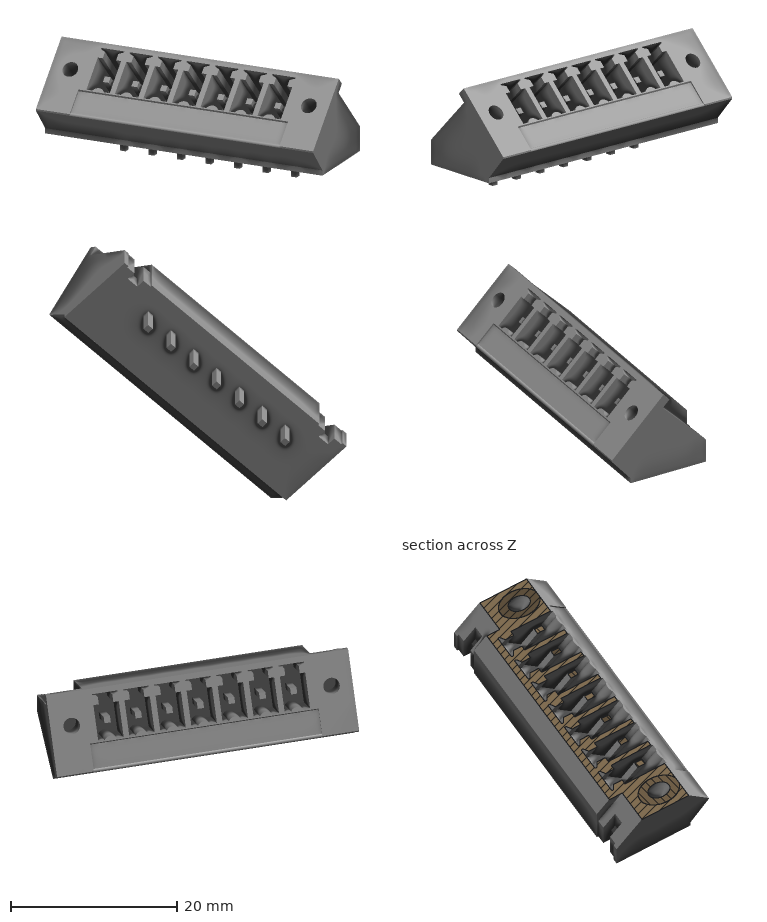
import cadquery as cq
import math


LENGTH = 37.05
HEIGHT = 10.95
DEPTH = 13.1
BASE_DEPTH = 10.5
BASE_LIP_HEIGHT = 0.65
NOSE_HEIGHT = 3.67
PEAK_DEPTH = 5.93
TILT = 45.4
NORMAL_Y = math.cos(math.radians(TILT))
NORMAL_Z = math.sin(math.radians(TILT))
SLOPE_RISE = NORMAL_Z / NORMAL_Y
NOSE_TOP = HEIGHT - (DEPTH - PEAK_DEPTH) / SLOPE_RISE
CUT = 2 * LENGTH

MIDDLE_LENGTH = 28.0
RECESS_START = 6.65
LEDGE_HEIGHT = 0.22
LEDGE_UNDERCUT = 0.05
BEAD_RADIUS = 0.3

EAR_LENGTH = (LENGTH - MIDDLE_LENGTH) / 2
EAR_LIP = 1.22
EAR_STEP = 1.3
SCREW_SPACING = 31.87
EAR_OUTER_WALL = 0.65
EAR_BACK_RELIEF = 0.22
NOTCH_WIDTH = 1.55
NOTCH_DEPTH = 1.35
NOTCH_TOP_DEPTH = 1.9
NOTCH_FLOOR = 1.85

INSERT_DIAMETER = 3.78
INSERT_BORE = 2.0
INSERT_LENGTH = 3.7
INSERT_DROP = 4.15

PIN_COUNT = 7
PIN_SPAN = 22.85
PIN_PITCH = PIN_SPAN / (PIN_COUNT - 1)
CAVITY_WIDTH = 3.1
CAVITY_DEPTH = 5.75
CAVITY_TOP = 2.05
CAVITY_END = 6.5
KEYWAY_WIDTH = 1.78
KEYWAY_TOP = 0.7
FLARE_CORNER = 0.85
FLARE_END = 1.15
RIDGE_RADIUS = 0.9
RIDGE_RISE = 0.45

PIN_SIZE = 0.78
PIN_TIP_DEPTH = 1.15
PIN_DROP = 4.22
LEG_CENTRE = 3.3
LEG_LENGTH = 3.25

PIN_XS = [-PIN_SPAN / 2 + i * PIN_PITCH for i in range(PIN_COUNT)]
SCREW_XS = [-SCREW_SPACING / 2, SCREW_SPACING / 2]


def face_plane(x=0.0):
    """Plane on the mating face at its peak: local y climbs the face, local z points outwards."""
    return cq.Plane(origin=(x, -PEAK_DEPTH, HEIGHT), xDir=(1, 0, 0), normal=(0, -NORMAL_Y, NORMAL_Z))


def side_prism(points, x_min, length):
    """Prism along X from an outline given as (distance in front of the back, height) points."""
    outline = [(-d, z) for d, z in points]
    return cq.Workplane("YZ", origin=(x_min, 0, 0)).polyline(outline).close().extrude(length)


def housing_block():
    knee_height = HEIGHT - PEAK_DEPTH * SLOPE_RISE
    points = [
        (0, 0),
        (BASE_DEPTH, 0),
        (BASE_DEPTH, BASE_LIP_HEIGHT),
        (DEPTH, NOSE_HEIGHT),
        (DEPTH, NOSE_TOP),
        (PEAK_DEPTH, HEIGHT),
        (0, knee_height),
    ]
    return side_prism(points, -LENGTH / 2, LENGTH)


def face_recess():
    """Shallow recess below the cavities, leaving a rounded bead along the nose."""
    start_depth = PEAK_DEPTH + RECESS_START * NORMAL_Z
    start_height = HEIGHT - RECESS_START * NORMAL_Y
    points = [
        (start_depth, start_height),
        (start_depth - LEDGE_UNDERCUT, start_height - LEDGE_HEIGHT),
        (DEPTH, NOSE_HEIGHT),
        (DEPTH + BEAD_RADIUS, NOSE_HEIGHT),
        (DEPTH + BEAD_RADIUS, start_height),
    ]
    bead = (
        cq.Workplane("YZ", origin=(-MIDDLE_LENGTH / 2, 0, 0))
        .center(-DEPTH + BEAD_RADIUS, NOSE_HEIGHT)
        .circle(BEAD_RADIUS)
        .extrude(MIDDLE_LENGTH)
    )
    return side_prism(points, -MIDDLE_LENGTH / 2, MIDDLE_LENGTH).cut(bead)


def ear_back_cut(side):
    lip = (PEAK_DEPTH - EAR_LIP * NORMAL_Y, HEIGHT - EAR_LIP * NORMAL_Z)
    corner = (lip[0] + EAR_STEP * NORMAL_Z, lip[1] - EAR_STEP * NORMAL_Y)
    points = [
        lip,
        corner,
        (0, corner[1] - corner[0] * SLOPE_RISE),
        (0, HEIGHT),
        (lip[0], HEIGHT),
    ]
    if side > 0:
        x_min = MIDDLE_LENGTH / 2
    else:
        x_min = -LENGTH / 2
    return side_prism(points, x_min, EAR_LENGTH)


def ear_relief(side):
    """Shallow cut in the ear's back wall, with a notch behind the screw."""
    width = EAR_LENGTH - EAR_OUTER_WALL
    centre = side * (MIDDLE_LENGTH + width) / 2
    screw = side * SCREW_SPACING / 2
    relief = cq.Workplane("XY").box(width, 2 * EAR_BACK_RELIEF, CUT).translate((centre, 0, 0))
    notch = cq.Workplane("XY").box(NOTCH_WIDTH, 2 * NOTCH_DEPTH, CUT).translate((screw, 0, 0))
    floor_end = NOTCH_FLOOR + (NOTCH_TOP_DEPTH - NOTCH_DEPTH) * SLOPE_RISE
    points = [
        (0, NOTCH_FLOOR),
        (NOTCH_DEPTH, NOTCH_FLOOR),
        (NOTCH_TOP_DEPTH, floor_end),
        (NOTCH_TOP_DEPTH, HEIGHT),
        (0, HEIGHT),
    ]
    notch_top = side_prism(points, screw - NOTCH_WIDTH / 2, NOTCH_WIDTH)
    return relief.union(notch).union(notch_top)


def cavity(x):
    """Stepped contact cavity with a flared keyway and a round ridge on its lower wall."""
    half_key = KEYWAY_WIDTH / 2
    half_wide = CAVITY_WIDTH / 2
    right_side = [
        (half_wide, -KEYWAY_TOP),
        (half_wide, -FLARE_CORNER),
        (half_key, -FLARE_END),
        (half_key, -CAVITY_TOP),
        (half_wide, -CAVITY_TOP),
        (half_wide, -CAVITY_END),
    ]
    left_side = [(-u, v) for u, v in reversed(right_side)]
    void = cq.Workplane(face_plane(x)).polyline(right_side + left_side).close().extrude(-CAVITY_DEPTH)
    ridge = (
        cq.Workplane(face_plane(x))
        .center(0, -CAVITY_END + RIDGE_RISE - RIDGE_RADIUS)
        .circle(RIDGE_RADIUS)
        .extrude(-CAVITY_DEPTH)
    )
    return void.cut(ridge)


def insert_body(x):
    return (
        cq.Workplane(face_plane(x))
        .center(0, -INSERT_DROP)
        .circle(INSERT_DIAMETER / 2)
        .extrude(-INSERT_LENGTH)
    )


def insert(x):
    bore = cq.Workplane(face_plane(x)).center(0, -INSERT_DROP).circle(INSERT_BORE / 2)
    return insert_body(x).cut(bore.extrude(-INSERT_LENGTH))


def pin(x):
    """Square pin: a leg rising from below the housing, bent to run out along the face normal."""
    half = PIN_SIZE / 2
    tip_depth = PEAK_DEPTH + PIN_DROP * NORMAL_Z - PIN_TIP_DEPTH * NORMAL_Y
    tip_height = HEIGHT - PIN_DROP * NORMAL_Y - PIN_TIP_DEPTH * NORMAL_Z
    upper_tip = (tip_depth - half * NORMAL_Z, tip_height + half * NORMAL_Y)
    lower_tip = (tip_depth + half * NORMAL_Z, tip_height - half * NORMAL_Y)
    leg_back = LEG_CENTRE - half
    leg_front = LEG_CENTRE + half
    points = [
        (leg_back, -LEG_LENGTH),
        (leg_front, -LEG_LENGTH),
        (leg_front, lower_tip[1] - (lower_tip[0] - leg_front) * SLOPE_RISE),
        lower_tip,
        upper_tip,
        (leg_back, upper_tip[1] - (upper_tip[0] - leg_back) * SLOPE_RISE),
    ]
    return side_prism(points, x - half, PIN_SIZE)


def build_housing(pins):
    housing = housing_block().cut(face_recess())
    for side in (-1, 1):
        housing = housing.cut(ear_back_cut(side)).cut(ear_relief(side))
    for x in SCREW_XS:
        housing = housing.cut(insert_body(x))
    for x in PIN_XS:
        housing = housing.cut(cavity(x))
    for contact in pins:
        housing = housing.cut(contact)
    return housing


pins = [pin(x) for x in PIN_XS]
inserts = [insert(x) for x in SCREW_XS]
housing = build_housing(pins)

result = cq.Compound.makeCompound(
    [housing.val(), *[body.val() for body in inserts], *[body.val() for body in pins]]
)